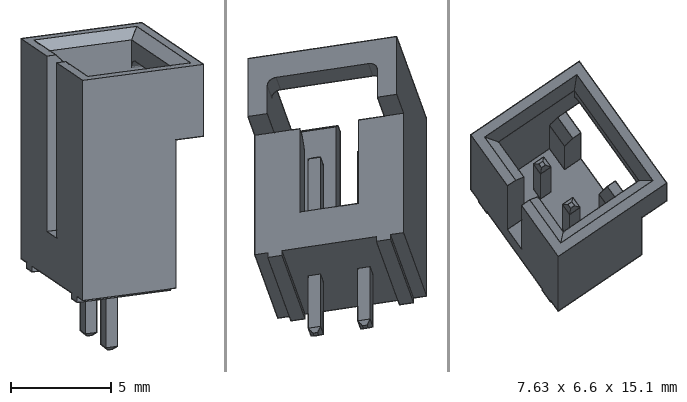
import cadquery as cq


total_height = 15.1
width = 7.63
depth = 6.6
body_height = 11.5
wall = 1.0
rear_overhang = 1.51
collar_height = 3.76
floor_thickness = 2.34
lead_in = 0.5

front_slot_width = 1.22
rear_bridge_height = 1.5
rear_corner_radius = 0.45

post_width = 1.31
post_depth = 1.0
post_chamfer = 0.5

foot_width = 0.72
foot_height = 0.3
foot_center = 2.78
pin_size = 0.63
pin_pitch = 2.54
pin_center_y = 2.57
pin_tip = 0.2
pin_above_floor = 5.44

floor_z = floor_thickness - body_height
body_depth = depth - rear_overhang
inner_width = width - 2 * wall
inner_depth = depth - 2 * wall


def box(x_size, y_size, z_size, x_center, y_min, z_min):
    """Box centred in X, starting at the given Y and Z."""
    block = cq.Workplane("XY").box(x_size, y_size, z_size, centered=(True, False, False))
    return block.translate((x_center, y_min, z_min))


def housing_block():
    """Side profile with the collar overhanging at the rear, extruded across X."""
    profile = [
        (0, 0),
        (depth, 0),
        (depth, -collar_height),
        (body_depth, -collar_height),
        (body_depth, -body_height),
        (0, -body_height),
    ]
    return cq.Workplane("YZ").polyline(profile).close().extrude(width / 2, both=True)


def cavity():
    """Rectangular cavity whose mouth widens at 45 degrees."""
    mouth = (
        cq.Workplane("XY")
        .center(0, depth / 2)
        .rect(inner_width + 2 * lead_in, inner_depth + 2 * lead_in)
        .workplane(offset=-lead_in)
        .rect(inner_width, inner_depth)
        .loft(ruled=True)
    )
    return box(inner_width, inner_depth, -floor_z, 0, wall, floor_z).union(mouth)


def front_slot():
    """Slot through the front wall, open at the rim and reaching the floor."""
    return box(front_slot_width, 2 * wall, -floor_z, 0, 0, floor_z)


def rear_window():
    """Full-width opening below the rear bridge, with rounded upper corners."""
    opening_height = -rear_bridge_height - floor_z
    opening = box(inner_width, depth / 2, opening_height, 0, depth / 2, floor_z)
    return opening.edges("|Y and >Z").fillet(rear_corner_radius)


def corner_post(side):
    """Post against a side wall, chamfered along its inner top edge."""
    post_height = -collar_height - floor_z
    x_center = side * (inner_width - post_width) / 2
    post = box(post_width, post_depth, post_height, x_center, body_depth - post_depth, floor_z)
    return post.edges("<Y and >Z").chamfer(post_chamfer)


def foot(side):
    """Standoff rail running the full depth of the underside."""
    return box(foot_width, body_depth, foot_height, side * foot_center, 0, -body_height - foot_height)


def pin(side):
    """Square pin through the floor, tapered at both ends."""
    length = total_height + floor_z + pin_above_floor
    pin_front = pin_center_y - pin_size / 2
    post = box(pin_size, pin_size, length, side * pin_pitch / 2, pin_front, -total_height)
    return post.faces("<Z or >Z").chamfer(pin_tip)


result = housing_block().cut(cavity()).cut(front_slot()).cut(rear_window())
for side in (-1, 1):
    result = result.union(corner_post(side)).union(foot(side)).union(pin(side))